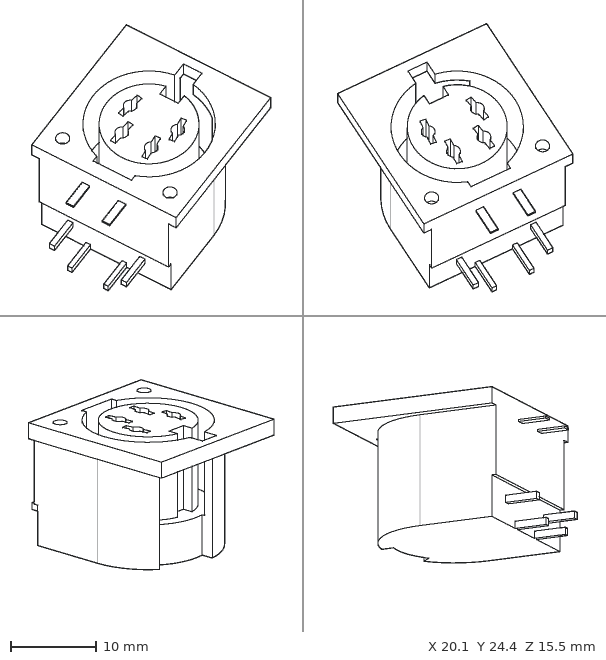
import cadquery as cq
import math


total_length = 24.38
total_height = 15.48

plate_width = 20.06
plate_length = 20.85
plate_thickness = 2.0
plate_back = 10.9
plate_front = plate_back - plate_length
plate_bottom = total_height - plate_thickness

body_radius = 9.0
step_height = 5.05
step_depth = 0.54

cavity_radius = 7.78
insert_radius = 5.88
cavity_floor = step_height
cavity_depth = total_height - cavity_floor

key_width = 2.55
plate_key_reach = 9.6
insert_key_reach = 4.4

wall_slit_inner_radius = 7.44
wall_slit_end_angle = 50

spring_recess_width = 5.31
spring_recess_reach = 8.1
spring_width = 4.65
spring_toe = 6.0
spring_rise = 0.35

contact_positions = [(3.32, 1.07, 8), (2.05, -2.78, 5)]
contact_hole_radius = 0.8
contact_slot_width = 0.73
contact_slot_length = 3.44

corner_hole_radius = 0.83
corner_hole_x = 7.45
corner_hole_y = -7.22

pin_length = total_length - plate_length
pin_root = 1.22
pin_thickness = 0.88
ground_pin_thickness = 0.25
ground_pin_drop = 0.35
ground_pin_bottom = plate_bottom - ground_pin_drop - ground_pin_thickness
pin_pairs = [
    (2.5, 0.63, 0, pin_thickness),
    (5.0, 0.73, 2.55, pin_thickness),
    (2.5, 1.05, ground_pin_bottom, ground_pin_thickness),
]


def block(x_min, x_max, y_min, y_max, z_min, z_max):
    """Box given by its limits along each axis."""
    size = (x_max - x_min, y_max - y_min, z_max - z_min)
    return cq.Workplane("XY").box(*size, centered=False).translate((x_min, y_min, z_min))


def centred_block(width, y_min, y_max, z_min, z_max):
    """Box that is symmetric about the YZ plane."""
    return block(-width / 2, width / 2, y_min, y_max, z_min, z_max)


def cylinder(radius, z_min, z_max, x=0, y=0):
    return cq.Workplane("XY", origin=(x, y, z_min)).circle(radius).extrude(z_max - z_min)


def make_housing():
    """Plate and body, with the front of the body stepped back near the bottom."""
    plate = centred_block(plate_width, plate_front, plate_back, plate_bottom, total_height)
    body = cylinder(body_radius, 0, plate_bottom)
    body = body.union(centred_block(2 * body_radius, plate_front, 0, 0, plate_bottom))
    step = centred_block(2 * body_radius, plate_front, plate_front + step_depth, 0, step_height)
    return plate.union(body.cut(step))


def make_cavity():
    """Round cavity with its plate key notch and spring recess."""
    cavity = cylinder(cavity_radius, cavity_floor, total_height)
    plate_key = centred_block(key_width, 0, plate_key_reach, cavity_floor, total_height)
    recess = centred_block(spring_recess_width, -spring_recess_reach, 0, cavity_floor, total_height)
    return cavity.union(plate_key).union(recess)


def make_wall_slit():
    """Full-height opening in the back wall, from the key notch edge round towards +X."""
    reach = 2 * body_radius
    end_angle = math.radians(wall_slit_end_angle)
    key_edge = -key_width / 2
    sector = (
        cq.Workplane("XY")
        .polyline([
            (key_edge, 0),
            (0, 0),
            (reach * math.cos(end_angle), reach * math.sin(end_angle)),
            (key_edge, reach),
        ])
        .close()
        .extrude(plate_bottom)
    )
    return sector.cut(cylinder(wall_slit_inner_radius, 0, plate_bottom))


def make_contact_opening(x, y, lean):
    """Round hole crossed by a narrow slot that is turned by the lean angle from the Y direction."""
    slot = (
        cq.Workplane("XY")
        .rect(contact_slot_width, contact_slot_length)
        .extrude(cavity_depth)
        .rotate((0, 0, 0), (0, 0, 1), lean)
        .translate((x, y, cavity_floor))
    )
    return cylinder(contact_hole_radius, cavity_floor, total_height, x, y).union(slot)


def make_insert():
    """Round contact carrier that stands in the cavity, flush with the plate."""
    insert = cylinder(insert_radius, cavity_floor, total_height)
    insert = insert.cut(
        centred_block(key_width, insert_key_reach, insert_radius, cavity_floor, total_height)
    )
    for x, y, lean in contact_positions:
        for side in (1, -1):
            insert = insert.cut(make_contact_opening(side * x, y, side * lean))
    return insert


def make_spring():
    """Ramp that rises from the cavity floor to the front wall of the recess."""
    return (
        cq.Workplane("YZ")
        .polyline([
            (-spring_toe, cavity_floor),
            (-spring_recess_reach, cavity_floor),
            (-spring_recess_reach, cavity_floor + spring_rise),
        ])
        .close()
        .extrude(spring_width / 2, both=True)
    )


def make_corner_holes():
    """Pair of blind holes through the plate, stopping at the body."""
    right = cylinder(corner_hole_radius, plate_bottom, total_height, corner_hole_x, corner_hole_y)
    return right.union(right.mirror("YZ"))


def make_pins():
    """All terminal pins, each with its root inside the body."""
    pins = cq.Workplane("XY")
    pin_tip = plate_front - pin_length
    for x, width, bottom, thickness in pin_pairs:
        pin = centred_block(width, pin_tip, plate_front + pin_root, bottom, bottom + thickness)
        for side in (1, -1):
            pins = pins.add(pin.translate((side * x, 0, 0)))
    return pins.combine()


result = make_housing().cut(make_cavity()).cut(make_wall_slit()).cut(make_corner_holes())
result = result.union(make_insert()).union(make_spring()).union(make_pins())